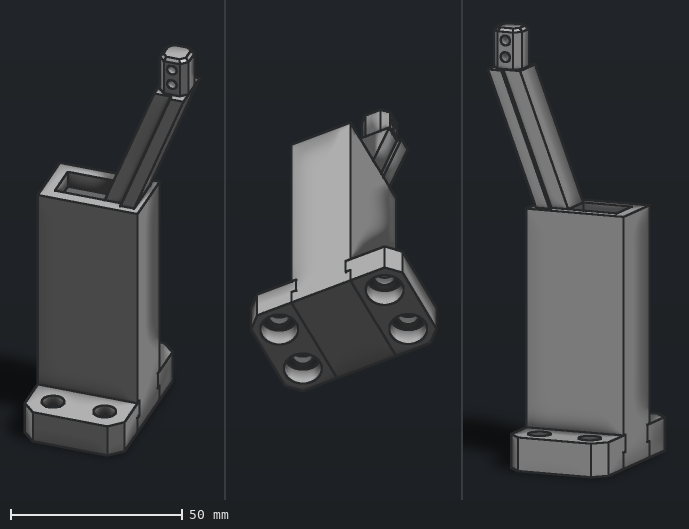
import cadquery as cq
import math

housing_length = 31.0
housing_width = 19.0
housing_height = 75.0
lever_top = 114.9
total_height = 127.0
span_width = 49.0
overall_length = 44.3
right_end = overall_length - housing_length / 2

foot_height = 10.0
groove_bottom = 5.0
groove_depth = 1.5
foot_corner = 4.0
bolt_diameter = 6.6
counterbore_diameter = 11.0
counterbore_depth = 6.6
bolt_spacing_x = 16.0
bolt_spacing_y = 34.0

pocket_wall = 4.0
pocket_depth = 5.1
pocket_floor = housing_height - pocket_depth

lever_angle = 21.0
lever_length = 9.7
stem_length = 5.3
stem_width = 11.0
flange_width = 14.0
lean = (lever_top - housing_height) * math.tan(math.radians(lever_angle))
lever_back_top = right_end - lever_length
lever_back = lever_back_top - lean

tip_size = 9.0
tip_corner = 2.0
tip_chamfer = 1.0
tip_x = right_end - tip_size / 2
pin_hole_diameter = 2.9
pin_hole_spacing = 5.0
upper_pin_hole_depth = 3.5
upper_pin_hole_z = total_height - upper_pin_hole_depth


def block(x_min, x_max, y_min, y_max, z_min, z_max):
    """Axis-aligned box between the given limits."""
    return cq.Workplane("XY").box(
        x_max - x_min, y_max - y_min, z_max - z_min, centered=False
    ).translate((x_min, y_min, z_min))


def lever_bar(offset, length, width):
    """Upright root and leaning arm of one bar, offset in X from the back of the lever."""
    back = lever_back + offset
    front = back + length
    return (
        cq.Workplane("XZ")
        .polyline([
            (back, pocket_floor),
            (front, pocket_floor),
            (front, housing_height),
            (front + lean, lever_top),
            (back + lean, lever_top),
            (back, housing_height),
        ])
        .close()
        .extrude(width / 2, both=True)
    )


def make_lever():
    """Narrow stem at the back and wide flange in front, joined into one T section."""
    stem = lever_bar(0, lever_length, stem_width)
    flange = lever_bar(stem_length, lever_length - stem_length, flange_width)
    return stem.union(flange)


def make_foot(side):
    """Foot at +Y (side 1) or -Y (side -1), with two bolt holes counterbored from below."""
    inner_y = housing_width / 2
    outer_y = span_width / 2
    half_length = housing_length / 2
    plate = block(-half_length, half_length, inner_y, outer_y, 0, foot_height)
    plate = plate.faces(">Y").edges("|Z").chamfer(foot_corner)
    tongue = block(
        -half_length, half_length, inner_y - groove_depth, inner_y, groove_bottom, foot_height
    )
    foot = plate.union(tongue)
    bolt_points = [(x * bolt_spacing_x / 2, bolt_spacing_y / 2) for x in (-1, 1)]
    bolt_plan = cq.Workplane("XY").pushPoints(bolt_points)
    foot = foot.cut(bolt_plan.circle(bolt_diameter / 2).extrude(foot_height))
    foot = foot.cut(bolt_plan.circle(counterbore_diameter / 2).extrude(counterbore_depth))
    return foot if side > 0 else foot.mirror("XZ")


def make_housing(feet, lever):
    """Upright block with side grooves for the feet and a top pocket that holds the lever root."""
    half_length = housing_length / 2
    half_width = housing_width / 2
    housing = block(-half_length, half_length, -half_width, half_width, 0, housing_height)
    pocket = block(
        pocket_wall - half_length, lever_back, -stem_width / 2, stem_width / 2,
        pocket_floor, housing_height,
    )
    housing = housing.cut(pocket).cut(lever)
    for foot in feet:
        housing = housing.cut(foot)
    return housing


def make_tip():
    """Upright eight-sided tip with a chamfered top and two cross holes along Y."""
    tip = (
        cq.Workplane("XY", origin=(tip_x, 0, lever_top))
        .rect(tip_size, tip_size)
        .extrude(total_height - lever_top)
        .edges("|Z")
        .chamfer(tip_corner)
        .faces(">Z")
        .chamfer(tip_chamfer)
    )
    pin_holes = (
        cq.Workplane("XZ")
        .pushPoints([(tip_x, upper_pin_hole_z - i * pin_hole_spacing) for i in range(2)])
        .circle(pin_hole_diameter / 2)
        .extrude(tip_size, both=True)
    )
    return tip.cut(pin_holes)


lever = make_lever()
tip = make_tip()
feet = [make_foot(side) for side in (-1, 1)]
housing = make_housing(feet, lever)

result = cq.Compound.makeCompound(
    [housing.val(), *[foot.val() for foot in feet], lever.val(), tip.val()]
)